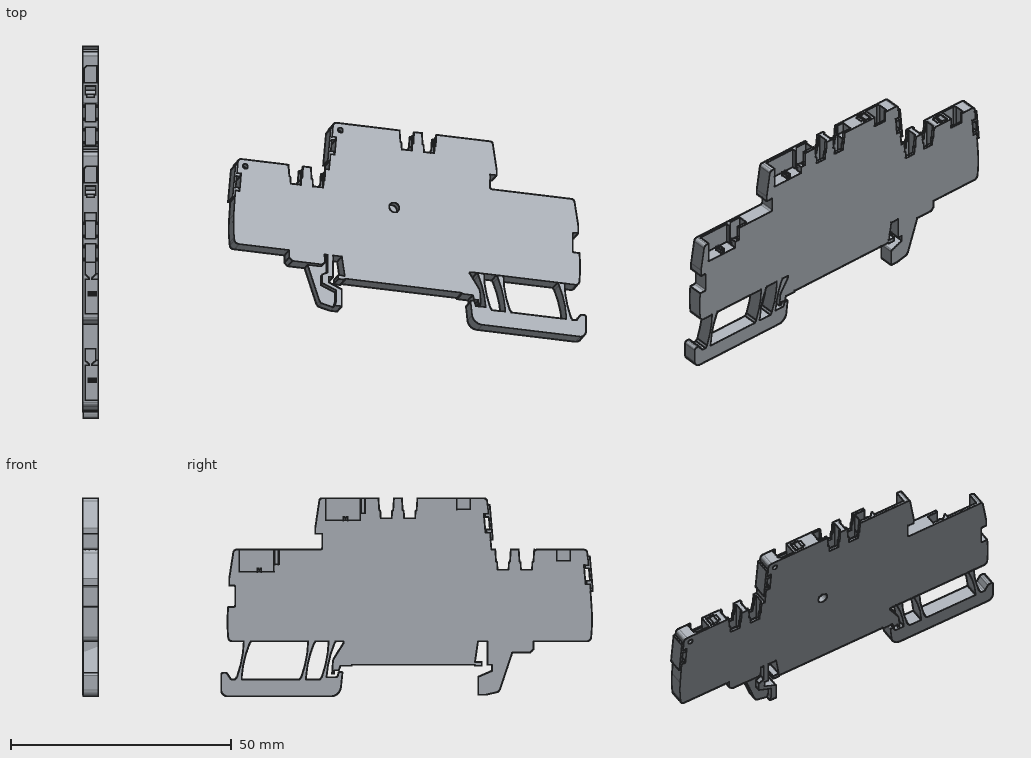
import cadquery as cq
import math


THICKNESS = 3.5
NEAR_FACE = -THICKNESS / 2
FAR_FACE = THICKNESS / 2
LOWER_TOP = 20.8
UPPER_TOP = 32.5
BODY_HALF = 41.1
BODY_BULGE = 41.5
BULGE_HEIGHT = 4.4
BULGE_RADIUS = 34.6
BODY_CORNER = 1.0
RAIL_FACE = -5.3
RAIL_LIP = -5.6
FLANK_SLOPE = math.tan(math.radians(5.0))
FLANK_HEIGHT = 8.0

LOWER_FLANK = (40.2, LOWER_TOP)
UPPER_FLANK = (17.5, UPPER_TOP)
FLANKS = [LOWER_FLANK, UPPER_FLANK]

UPPER_BAY = (-19.1, UPPER_TOP)
LOWER_BAY = (-38.6, LOWER_TOP)
BAYS = [LOWER_BAY, UPPER_BAY]

SLOT_PITCH = 5.3
LOWER_SLOT = 26.5
SLOTS = [
    (LOWER_SLOT, LOWER_TOP),
    (LOWER_SLOT - SLOT_PITCH, LOWER_TOP),
    (0.0, UPPER_TOP),
    (-SLOT_PITCH, UPPER_TOP),
]
SLOT_OUTLINE = [(1.73, 0), (1.56, 2.7), (1.31, 2.95), (1.22, 4.55)]
SLOT_LEAD_IN = 0.7
PIT_LENGTH = 4.1
PIT_WIDTH = 2.3
PIT_DEPTH = 7.2
SIDE_POCKET = (1.8, 2.6, 2.5)

HOLE_DEPTH = 1.7
CENTRE_HOLE = (3.0, 13.5)
CENTRE_HOLE_RADIUS = 1.2
FLANK_HOLE_OFFSET = 1.7
FLANK_HOLE_RADIUS = 0.6

ENTRY_START = 3.1
ENTRY_LENGTH = 3.8
ENTRY_WIDTH = 2.8
ENTRY_DEPTH = 5.1
ENTRY_CORNER = 0.5
FAR_WALL_DROP = 2.5
FAR_WALL_START = 0.7

BAY_LENGTH = 7.85
BAY_DEPTH = 5.1
BAY_WALL = 0.63
BAY_ENTRY_LENGTH = 3.5
BAY_ENTRY_WIDTH = 2.3
BAY_ENTRY_TAPER = 0.8
BAY_ENTRY_NECK = 0.5
BAY_ENTRY_GAP = 0.25
BAY_CORNER_LENGTH = 1.2
BAY_CORNER_DROP = 3.4

PUSHER_DEPTH = 3.4
GROOVE_DEPTH = 0.5
EDGE_LAND = 0.2
FLANK_PUSHER = (2.3, 2.1)
FLANK_PUSHER_START = 7.6
FLANK_PUSHER_LIP = (1.7, 0.5)
BAY_PUSHER = (1.8, 0.9)
BAY_PUSHER_X = 0.38
BAY_PUSHER_START = 5.0
BAY_PUSHER_RISE = 0.85

PLATE_TOP = 1.5
PLATE_LENGTH = 7.9
PLATE_THICKNESS = 0.5
WINDOW_TOP = 3.5
WINDOW_HEIGHT = 4.3
WINDOW_DEPTH = 1.0
LEG_HEIGHT = 0.8
LEG_LENGTH = 0.85

WEB_RECESS = 1.3

STRUT_STARTS = [-16.9, -21.5, -36.1]
BAR_TOP = -8.6
BAR_BOTTOM = -12.5
CLAMP_SETBACK = 0.1
CLAMP_FACE = NEAR_FACE + CLAMP_SETBACK
CLAMP_WIDTH = THICKNESS - CLAMP_SETBACK


def rounded_profile(corners, start_x=NEAR_FACE, width=THICKNESS):
    """Extrude a YZ outline along X. A corner is (y, z) or (y, z, radius)."""
    count = len(corners)
    path = cq.Workplane("YZ", origin=(start_x, 0, 0))
    for index, corner in enumerate(corners):
        here = cq.Vector(corner[0], corner[1])
        radius = corner[2] if len(corner) == 3 else 0
        entry, middle, leave = here, None, here
        if radius:
            before = corners[index - 1]
            after = corners[(index + 1) % count]
            back = (cq.Vector(before[0], before[1]) - here).normalized()
            ahead = (cq.Vector(after[0], after[1]) - here).normalized()
            half_angle = back.getAngle(ahead) / 2
            setback = radius / math.tan(half_angle)
            bisector = (back + ahead).normalized()
            entry = here + back * setback
            leave = here + ahead * setback
            middle = here + bisector * (radius / math.sin(half_angle) - radius)
        if index == 0:
            path = path.moveTo(entry.x, entry.y)
        else:
            path = path.lineTo(entry.x, entry.y)
        if middle:
            path = path.threePointArc((middle.x, middle.y), (leave.x, leave.y))
    return path.close().extrude(width)


def block(x_range, y_range, z_range):
    """Box between two limits on each axis."""
    size = [max(limits) - min(limits) for limits in (x_range, y_range, z_range)]
    corner = (min(x_range), min(y_range), min(z_range))
    return cq.Workplane("XY").box(*size, centered=False).translate(corner)


def flank_y(flank, drop):
    """Y of a leaning flank at a given drop below its top corner."""
    return flank[0] + drop * FLANK_SLOPE


def main_body():
    corners = [
        (BODY_HALF, 0, BODY_CORNER),
        (BODY_BULGE, BULGE_HEIGHT, BULGE_RADIUS),
        (flank_y(LOWER_FLANK, FLANK_HEIGHT), LOWER_TOP - FLANK_HEIGHT),
        (*LOWER_FLANK, 0.85),
        (flank_y(UPPER_FLANK, UPPER_TOP - LOWER_TOP), LOWER_TOP),
        (*UPPER_FLANK, 0.85),
        (-20.4, UPPER_TOP, 0.7),
        (-21.4, 25.7),
        (-21.4, 24.4),
        (-19.8, 24.4),
        (-19.8, LOWER_TOP, 0.4),
        (-39.9, LOWER_TOP, 0.85),
        (-40.9, 14.3),
        (-40.9, 12.65),
        (-39.55, 12.65, 0.3),
        (-39.55, 7.85, 0.3),
        (-41.15, 7.85),
        (-BODY_BULGE, BULGE_HEIGHT, BULGE_RADIUS),
        (-BODY_HALF, 0, BODY_CORNER),
        (-14.75, 0, 0.25),
        (-17.4, -4.1, 1.7),
        (-17.6, -7.3),
        (-17.1, -7.3),
        (-17.1, -6.6),
        (-16.0, -6.6),
        (-15.7, RAIL_LIP),
        (-13.1, RAIL_LIP),
        (-13.1, RAIL_FACE),
        (14.75, RAIL_FACE),
        (14.75, RAIL_LIP),
        (16.4, RAIL_LIP),
        (16.4, -4.6),
        (14.8, -4.6),
        (15.5, 0),
        (19.65, 0),
        (19.65, -2.0),
        (20.15, -2.5),
        (27.3, -2.5),
        (28.1, -1.8),
        (28.1, 0),
    ]
    return rounded_profile(corners)


BLADE_BACK = [(18.9, 0), (18.9, -4.2), (20.15, -5.0), (20.15, -7.1), (16.9, -8.4), (16.9, -11.05), (17.2, -12.15)]


def foot():
    blade_front = [
        (15.5, -12.15),
        (15.5, -8.0, 0.4),
        (18.6, -6.7),
        (18.6, RAIL_FACE),
        (17.6, RAIL_FACE),
        (17.6, 0),
    ]
    blade = rounded_profile(BLADE_BACK + blade_front)
    web_outer = [(20.1, -11.5, 0.4), (20.5, -10.9), (23.3, -2.5), (23.3, 0)]
    web = rounded_profile(BLADE_BACK + web_outer, NEAR_FACE + WEB_RECESS, THICKNESS - WEB_RECESS)
    return blade.union(web)


def strut(start):
    """Curved spring strut; `start` is its +Y edge where it leaves the body."""
    return (
        cq.Workplane("YZ", origin=(CLAMP_FACE, start, 0))
        .moveTo(0.2, 0)
        .lineTo(-0.2, -0.5)
        .threePointArc((-1.3, -3.8), (-1.9, -8.0))
        .lineTo(-1.9, BAR_TOP)
        .lineTo(-3.45, BAR_TOP)
        .lineTo(-3.0, -8.0)
        .threePointArc((-2.0, -4.4), (-1.5, 0))
        .close()
        .extrude(CLAMP_WIDTH)
    )


def clamping_bar():
    corners = [
        (-15.2, -6.9, 0.25),
        (-16.1, -6.9, 0.25),
        (-16.4, -8.1, 0.5),
        (-19.4, -8.1),
        (-19.9, BAR_TOP),
        (-40.5, BAR_TOP, 0.5),
        (-41.5, -7.1, 0.5),
        (-42.75, -7.1, 0.6),
        (-42.75, BAR_BOTTOM, 1.5),
        (-15.8, BAR_BOTTOM, 2.4),
    ]
    return rounded_profile(corners, CLAMP_FACE, CLAMP_WIDTH)


def jumper_slot(centre, top):
    """Stepped slot through both side walls with a longer pit between them."""
    right_side = [(centre - half, top - depth) for half, depth in SLOT_OUTLINE]
    left_side = [(centre + half, top - depth) for half, depth in reversed(SLOT_OUTLINE)]
    slot = rounded_profile(right_side + left_side)
    pit = block(
        (-PIT_WIDTH / 2, PIT_WIDTH / 2),
        (centre - PIT_LENGTH / 2, centre + PIT_LENGTH / 2),
        (top - PIT_DEPTH, top),
    )
    return slot.union(pit)


def slot_lead_in():
    """Cutter that rounds the top edge of the first lower slot."""
    slot_side = LOWER_SLOT + SLOT_OUTLINE[0][0]
    round_end = slot_side + SLOT_LEAD_IN
    bottom = LOWER_TOP - SLOT_LEAD_IN
    corner = block((NEAR_FACE, FAR_FACE), (slot_side, round_end), (bottom, LOWER_TOP))
    kept = (
        cq.Workplane("YZ", origin=(NEAR_FACE, 0, 0))
        .center(round_end, bottom)
        .circle(SLOT_LEAD_IN)
        .extrude(THICKNESS)
    )
    return corner.cut(kept)


def side_pocket():
    """Wider pocket that opens into the first pit of the upper tier."""
    length, width, depth = SIDE_POCKET
    pit_edge = PIT_LENGTH / 2
    return block((-width / 2, width / 2), (pit_edge, pit_edge + length), (UPPER_TOP - depth, UPPER_TOP))


def near_hole(centre, radius):
    return cq.Workplane("YZ", origin=(NEAR_FACE, 0, 0)).center(*centre).circle(radius).extrude(HOLE_DEPTH)


def flank_hole(flank):
    return near_hole((flank[0] - FLANK_HOLE_OFFSET, flank[1] - FLANK_HOLE_OFFSET), FLANK_HOLE_RADIUS)


def flank_entry(flank):
    """Wire entry with one cut corner and a lowered far wall."""
    start = flank[0] - ENTRY_START
    end = start - ENTRY_LENGTH
    top = flank[1]
    pocket = block((-ENTRY_WIDTH / 2, ENTRY_WIDTH / 2), (end, start), (top - ENTRY_DEPTH, top))
    pocket = pocket.edges("|Z and <X and >Y").chamfer(ENTRY_CORNER)
    far_gap = block((0, FAR_FACE), (end, start - FAR_WALL_START), (top - FAR_WALL_DROP, top))
    return pocket.union(far_gap)


def bay(outer_end, top):
    """Bay open to the far side, with a tapered wire entry beside it."""
    inner_end = outer_end + BAY_LENGTH
    entry_near = inner_end + BAY_ENTRY_GAP
    entry_far = entry_near + BAY_ENTRY_LENGTH
    half = BAY_ENTRY_WIDTH / 2
    half_neck = BAY_ENTRY_NECK / 2
    recess = block((NEAR_FACE + BAY_WALL, FAR_FACE), (outer_end, inner_end), (top - BAY_DEPTH, top))
    entry = (
        cq.Workplane("XY", origin=(0, 0, top - BAY_DEPTH))
        .polyline([
            (-half, entry_far),
            (half, entry_far),
            (half, entry_near + BAY_ENTRY_TAPER),
            (half_neck, entry_near),
            (half_neck, inner_end),
            (-half_neck, inner_end),
            (-half_neck, entry_near),
            (-half, entry_near + BAY_ENTRY_TAPER),
        ])
        .close()
        .extrude(BAY_DEPTH)
    )
    corner_gap = block(
        (half_neck, FAR_FACE),
        (inner_end, inner_end + BAY_CORNER_LENGTH),
        (top - BAY_CORNER_DROP, top),
    )
    return recess.union(entry).union(corner_gap)


def flank_pusher_blank(flank):
    """Pusher beside a flank wire entry, before its groove is cut; also its socket."""
    width, length = FLANK_PUSHER
    lip_width, lip_length = FLANK_PUSHER_LIP
    start = flank[0] - FLANK_PUSHER_START
    end = start - length
    z_range = (flank[1] - PUSHER_DEPTH, flank[1])
    body = block((-width / 2, width / 2), (end, start), z_range)
    lip = block((-lip_width / 2, lip_width / 2), (end - lip_length, end), z_range)
    return body.union(lip)


def bay_pusher_blank(outer_end, top):
    """Pusher standing in a bay, before its groove is cut; also its socket."""
    width, length = BAY_PUSHER
    start = outer_end + BAY_PUSHER_START
    floor = top - BAY_DEPTH
    return block(
        (BAY_PUSHER_X - width / 2, BAY_PUSHER_X + width / 2),
        (start - length, start),
        (floor - PUSHER_DEPTH, floor + BAY_PUSHER_RISE),
    )


def marker_window(flank):
    """Window through the flank edge that takes the marker legs."""
    bottom = WINDOW_TOP + WINDOW_HEIGHT
    inner_top = flank_y(flank, WINDOW_TOP) - WINDOW_DEPTH
    inner_bottom = flank_y(flank, bottom) - WINDOW_DEPTH
    return rounded_profile([
        (inner_top, flank[1] - WINDOW_TOP),
        (flank_y(flank, WINDOW_TOP), flank[1] - WINDOW_TOP),
        (flank_y(flank, bottom), flank[1] - bottom),
        (inner_bottom, flank[1] - bottom),
    ])


def make_housing():
    housing = main_body().union(foot()).union(clamping_bar())
    for start in STRUT_STARTS:
        housing = housing.union(strut(start))
    for centre, top in SLOTS:
        housing = housing.cut(jumper_slot(centre, top))
    housing = housing.cut(slot_lead_in())
    housing = housing.cut(side_pocket())
    housing = housing.cut(near_hole(CENTRE_HOLE, CENTRE_HOLE_RADIUS))
    for flank in FLANKS:
        housing = housing.cut(flank_hole(flank))
        housing = housing.cut(flank_entry(flank))
        housing = housing.cut(flank_pusher_blank(flank))
        housing = housing.cut(marker_window(flank))
    for outer_end, top in BAYS:
        housing = housing.cut(bay(outer_end, top))
        housing = housing.cut(bay_pusher_blank(outer_end, top))
    return housing


def driver_groove(start, length, top):
    """V groove across X for a screwdriver blade."""
    return rounded_profile([
        (start - EDGE_LAND, top),
        (start - length / 2, top - GROOVE_DEPTH),
        (start - length + EDGE_LAND, top),
    ])


def make_flank_pusher(flank):
    start = flank[0] - FLANK_PUSHER_START
    return flank_pusher_blank(flank).cut(driver_groove(start, FLANK_PUSHER[1], flank[1]))


def make_bay_pusher(outer_end, top):
    start = outer_end + BAY_PUSHER_START
    pusher_top = top - BAY_DEPTH + BAY_PUSHER_RISE
    return bay_pusher_blank(outer_end, top).cut(driver_groove(start, BAY_PUSHER[1], pusher_top))


def make_marker_plate(flank):
    """Thin plate lying on a flank, with two legs reaching into the window."""
    bottom = PLATE_TOP + PLATE_LENGTH

    def section(upper, lower, inner, outer):
        return rounded_profile([
            (flank_y(flank, upper) + inner, flank[1] - upper),
            (flank_y(flank, upper) + outer, flank[1] - upper),
            (flank_y(flank, lower) + outer, flank[1] - lower),
            (flank_y(flank, lower) + inner, flank[1] - lower),
        ])

    window_bottom = WINDOW_TOP + WINDOW_HEIGHT
    plate = section(PLATE_TOP, bottom, 0, PLATE_THICKNESS)
    upper_leg = section(WINDOW_TOP, WINDOW_TOP + LEG_HEIGHT, -LEG_LENGTH, 0)
    lower_leg = section(window_bottom - LEG_HEIGHT, window_bottom, -LEG_LENGTH, 0)
    return plate.union(upper_leg).union(lower_leg)


housing = make_housing()
flank_pushers = [make_flank_pusher(flank) for flank in FLANKS]
bay_pushers = [make_bay_pusher(outer_end, top) for outer_end, top in BAYS]
marker_plates = [make_marker_plate(flank) for flank in FLANKS]

bodies = [housing, *flank_pushers, *bay_pushers, *marker_plates]
result = cq.Compound.makeCompound([solid for body in bodies for solid in body.solids().vals()])